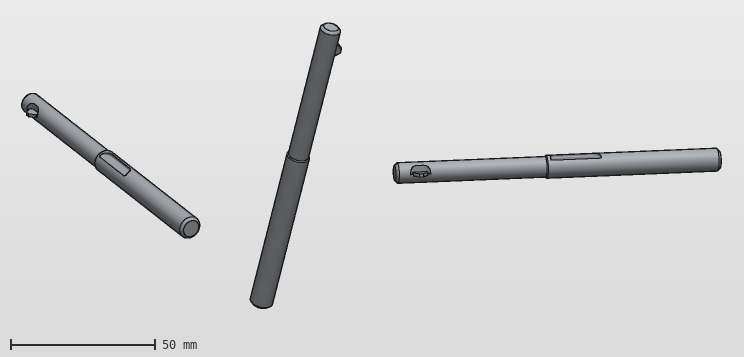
import cadquery as cq

length = 115.0
barrel_radius = 4.0
shaft_radius = 3.62
shoulder_x = 53.2
shoulder_bevel = barrel_radius - shaft_radius
end_chamfer = 1.0

blade_x = 8.5
window_width = 8.0
window_corner_radius = 3.0
window_back_y = -2.2
window_floor_z = 0.0

blade_width = 5.3
blade_thickness = 1.2
blade_tip_y = -5.4
blade_tip_chamfer = 2.0

recess_x = 63.7
recess_width = 17.8
recess_back_y = 0.8
recess_floor_z = 2.9
recess_corner_radius = 3.0
recess_floor_fillet = 0.3


def tongue(center_x, width, root_y, end_y, bottom_z, height):
    """Upright block centred on center_x, reaching from root_y to end_y."""
    return (
        cq.Workplane("XY", origin=(center_x, (root_y + end_y) / 2, bottom_z))
        .rect(width, abs(end_y - root_y))
        .extrude(height)
    )


def make_body():
    profile = [
        (0, 0),
        (0, shaft_radius - end_chamfer),
        (end_chamfer, shaft_radius),
        (shoulder_x, shaft_radius),
        (shoulder_x + shoulder_bevel, barrel_radius),
        (length - end_chamfer, barrel_radius),
        (length, barrel_radius - end_chamfer),
        (length, 0),
    ]
    return cq.Workplane("XY").polyline(profile).close().revolve(360, (0, 0, 0), (1, 0, 0))


outside_y = -2 * barrel_radius
cut_height = 2 * barrel_radius

window = tongue(blade_x, window_width, outside_y, window_back_y, window_floor_z, cut_height)
window = window.faces(">Y").edges("|Z").fillet(window_corner_radius)

recess = tongue(recess_x, recess_width, outside_y, recess_back_y, recess_floor_z, cut_height)
recess = recess.faces(">Y").edges("|Z").fillet(recess_corner_radius)
recess = recess.faces("<Z").edges().fillet(recess_floor_fillet)

blade = tongue(blade_x, blade_width, 0, blade_tip_y, -blade_thickness / 2, blade_thickness)
blade = blade.faces("<Y").edges("|Z").chamfer(blade_tip_chamfer)

result = make_body().cut(window).cut(recess).union(blade)